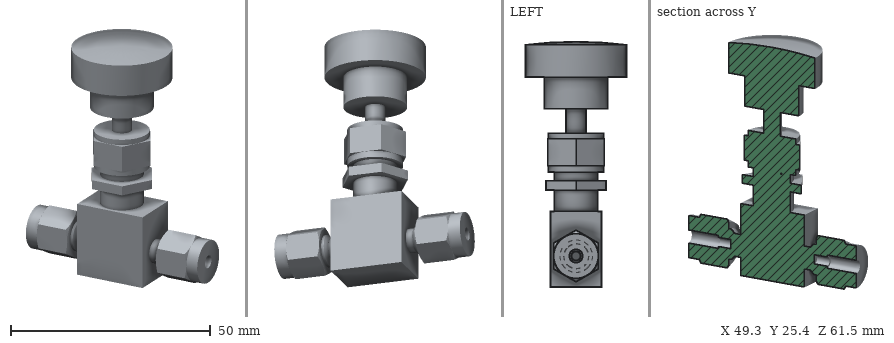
import cadquery as cq
import math


body_length = 18.8
body_width = 12.85
body_height = 19.0

stem_offset_x = -0.2
bonnet_diameter = 11.0
lock_nut_bottom = 24.3
lock_nut_thickness = 2.4
lock_nut_flats = 15.05
collar_diameter = 14.0
collar_bottom = 28.8
collar_top = 38.55
bonnet_nut_bottom = 30.4
bonnet_nut_top = 37.1
bonnet_nut_flats = 14.25

spindle_diameter = 5.05
hub_diameter = 16.0
hub_bottom = 44.6
wheel_diameter = 25.4
wheel_bottom = 52.55
wheel_rim_top = 60.7
wheel_top = 61.5

flow_axis_z = 7.8
neck_diameter = 6.15
flange_diameter = 8.1
flange_chamfer = 0.9
flange_start = 11.1
nut_start = 12.7
nut_end = 21.5
nut_flats = 11.2
nut_chamfer_angle = 30
fitting_end = 24.65
tube_bore_diameter = 3.3
tube_bore_depth = 8.6
flow_bore_diameter = 2.3
flow_bore_depth = 12.3


def across_corners(flats):
    """Corner-to-corner width of a regular hexagon."""
    return flats / math.cos(math.radians(30))


def cylinder(diameter, bottom, top):
    return cq.Workplane("XY").workplane(offset=bottom).circle(diameter / 2).extrude(top - bottom)


def hexagon(flats, bottom, top):
    """Hexagonal prism along Z with two corners on the X axis."""
    return cq.Workplane("XY").workplane(offset=bottom).polygon(6, across_corners(flats)).extrude(top - bottom)


def make_body():
    return cq.Workplane("XY").box(body_length, body_width, body_height, centered=(True, True, False))


def make_bonnet():
    bonnet = cylinder(bonnet_diameter, body_height, collar_bottom)
    bonnet = bonnet.union(hexagon(lock_nut_flats, lock_nut_bottom, lock_nut_bottom + lock_nut_thickness))
    bonnet = bonnet.union(cylinder(collar_diameter, collar_bottom, collar_top))
    return bonnet.union(hexagon(bonnet_nut_flats, bonnet_nut_bottom, bonnet_nut_top))


def make_handwheel():
    """Spindle, hub and domed wheel revolved as one profile about Z."""
    wheel_radius = wheel_diameter / 2
    dome_rise = wheel_top - wheel_rim_top
    dome_radius = (wheel_radius**2 + dome_rise**2) / (2 * dome_rise)
    middle_r = wheel_radius / 2
    middle_z = wheel_top - dome_radius + math.sqrt(dome_radius**2 - middle_r**2)
    return (
        cq.Workplane("XZ")
        .moveTo(0, collar_top)
        .lineTo(spindle_diameter / 2, collar_top)
        .lineTo(spindle_diameter / 2, hub_bottom)
        .lineTo(hub_diameter / 2, hub_bottom)
        .lineTo(hub_diameter / 2, wheel_bottom)
        .lineTo(wheel_radius, wheel_bottom)
        .lineTo(wheel_radius, wheel_rim_top)
        .threePointArc((middle_r, middle_z), (0, wheel_top))
        .close()
        .revolve(360, (0, 0, 0), (0, 1, 0))
    )


def make_fitting_nut():
    """Hexagonal nut whose corners are turned down to a cone at both ends."""
    flat_radius = nut_flats / 2
    corner_radius = across_corners(nut_flats) / 2
    chamfer_length = (corner_radius - flat_radius) * math.tan(math.radians(nut_chamfer_angle))
    turned_blank = (
        cq.Workplane("XZ")
        .moveTo(0, nut_start)
        .lineTo(flat_radius, nut_start)
        .lineTo(corner_radius, nut_start + chamfer_length)
        .lineTo(corner_radius, nut_end - chamfer_length)
        .lineTo(flat_radius, nut_end)
        .lineTo(0, nut_end)
        .close()
        .revolve(360, (0, 0, 0), (0, 1, 0))
    )
    return hexagon(nut_flats, nut_start, nut_end).intersect(turned_blank)


def make_fitting():
    """Fitting built upward along Z, with Z = 0 at the middle of the body."""
    flange = cylinder(flange_diameter, flange_start, nut_start).faces("<Z").chamfer(flange_chamfer)
    fitting = cylinder(neck_diameter, body_length / 2, nut_start).union(flange)
    fitting = fitting.union(make_fitting_nut())
    fitting = fitting.union(cylinder(nut_flats, nut_end, fitting_end))
    fitting = fitting.cut(cylinder(tube_bore_diameter, fitting_end - tube_bore_depth, fitting_end))
    return fitting.cut(cylinder(flow_bore_diameter, fitting_end - flow_bore_depth, fitting_end))


stem = make_bonnet().union(make_handwheel()).translate((stem_offset_x, 0, 0))
result = make_body().union(stem)

for tilt in (-90, 90):
    fitting = make_fitting().rotate((0, 0, 0), (0, 1, 0), tilt)
    result = result.union(fitting.translate((0, 0, flow_axis_z)))